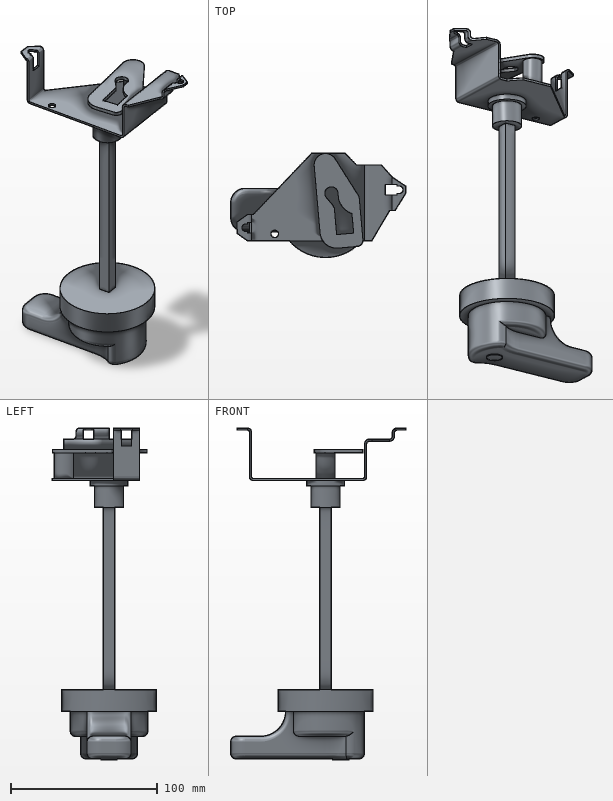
import cadquery as cq
import math


SHEET = 1.5
BEND = 1.2
WALL_BEND = 1.8
BRACKET_TOP = 36.0
SHELF_TOP = 28.4
LEFT_WALL_X = -52.2
RIGHT_WALL_X = 28.2
RISER_X = 47.1
LEFT_TIP_X = -60.5
TAB_TIP_X = 55.0
BASE_BACK_Y = 39.0
BASE_BACK_X = (-9.5, 13.4)
SHELF_BACK_Y = 31.0
SHELF_BACK_X = (21.2, 38.2)
SHELF_FRONT_X = 31.7
FRONT_Y = -21.0
LEFT_WALL_BACK_Y = -3.0
LEFT_WALL_MID_Y = (FRONT_Y + LEFT_WALL_BACK_Y) / 2
LEFT_TIP_HALF_WIDTH = 4.0
TAB_BACK_Y = 22.6
TAB_BACK_X = 45.7
TAB_FRONT_Y = -0.3
TAB_FRONT_X = (43.9, 47.6)
TAB_SLOT_Y = 14.0
TAB_TIP_HALF_WIDTH = 2.4
SLOT_WIDTH = 7.0
SLOT_TIP_WIDTH = 5.0
WALL_SLOT_BOTTOM = 23.8
LEFT_SLOT_WIDE_X = (-53.4, -50.4)
LEFT_SLOT_TIP_X = -57.3
TAB_SLOT_WIDE_X = (40.9, 48.8)
TAB_SLOT_TIP_X = 53.0
BASE_HOLE_D = 5.0
BASE_HOLE_XY = (-34.8, -16.2)

POST_Y = SHELF_BACK_Y
POST_R = 6.6
LEVER_TOP = 21.4
LEVER_THICK = 2.5
LEVER_TILT = 5.0
LEVER_R = 7.8
LEVER_RIGHT = 21.0
LEVER_SHOULDER = -23.7
LEVER_END = -57.5
LEVER_LEFT_CORNER_R = 11.3
LEVER_RIGHT_CORNER_R = 4.0
WINDOW_X = (3.4, 15.1)
WINDOW_END = -48.2
WINDOW_TOP = -34.8
EYE_CENTRE = (2.3, -19.8)
EYE_R = 4.5
EYE_LEAVE_ANGLE = 205.0
NECK_START = -24.0
NECK_ARC_MID = (9.2, -29.9)
NECK_LEFT = (2.3, -27.5)
NECK_EASE = 2.5

SHAFT_SIDE = 8.0
COLLAR_R = 13.0
COLLAR_THICK = 3.7
COUPLING_R = 10.0
COUPLING_BOTTOM = -18.4
ROSETTE_R = 32.5
ROSETTE_TOP = -143.2
ROSETTE_THICK = 14.8
ROSETTE_BOTTOM = ROSETTE_TOP - ROSETTE_THICK

HUB_R = 26.6
HUB_BOTTOM = -175.3
EDGE_R = 3.9
GRIP_BOTTOM = -190.6
GRIP_TIP_X = -65.0
GRIP_HALF_WIDTH = 15.0
GRIP_CORNER_R = 10.0
THUMB_R = 17.0
ARM_TOP = ROSETTE_BOTTOM - THUMB_R
THUMB_START_X = -44.4
FLARE_R = 24.0
FLARE_LENGTH = 14.0
TAIL_CORNER_R = 5.0
BUTTON_X = 10.4
BUTTON_R = 5.6
BUTTON_HEIGHT = 0.6

PICK = 0.1


def cylinder(radius, bottom, top, x=0.0, y=0.0):
    return cq.Workplane("XY", origin=(x, y, bottom)).circle(radius).extrude(top - bottom)


def box(x_range, y_range, z_range):
    size = [high - low for low, high in (x_range, y_range, z_range)]
    return cq.Workplane("XY").box(*size, centered=False).translate((x_range[0], y_range[0], z_range[0]))


def bend(sheet, x, z, radius):
    """Round the sheet edge that runs along Y through (x, z)."""
    picker = cq.selectors.BoxSelector(
        (x - PICK, FRONT_Y, z - PICK), (x + PICK, BASE_BACK_Y, z + PICK)
    )
    return sheet.edges(picker).fillet(radius)


def bent_sheet():
    left_inner = LEFT_WALL_X + SHEET
    right_inner = RIGHT_WALL_X - SHEET
    riser_left = RISER_X - SHEET
    shelf_under = SHELF_TOP - SHEET
    top_under = BRACKET_TOP - SHEET
    sheet = (
        cq.Workplane("XZ", origin=(0, BASE_BACK_Y, 0))
        .polyline([
            (LEFT_TIP_X, BRACKET_TOP), (left_inner, BRACKET_TOP), (left_inner, SHEET),
            (right_inner, SHEET), (right_inner, SHELF_TOP), (riser_left, SHELF_TOP),
            (riser_left, BRACKET_TOP), (TAB_TIP_X, BRACKET_TOP), (TAB_TIP_X, top_under),
            (RISER_X, top_under), (RISER_X, shelf_under), (RIGHT_WALL_X, shelf_under),
            (RIGHT_WALL_X, 0), (LEFT_WALL_X, 0), (LEFT_WALL_X, top_under), (LEFT_TIP_X, top_under),
        ])
        .close()
        .extrude(BASE_BACK_Y - FRONT_Y)
    )
    bends = [
        ((LEFT_WALL_X, top_under), (left_inner, BRACKET_TOP), BEND),
        ((left_inner, SHEET), (LEFT_WALL_X, 0), BEND),
        ((right_inner, SHEET), (RIGHT_WALL_X, 0), BEND),
        ((RIGHT_WALL_X, shelf_under), (right_inner, SHELF_TOP), WALL_BEND),
        ((riser_left, SHELF_TOP), (RISER_X, shelf_under), WALL_BEND),
        ((RISER_X, top_under), (riser_left, BRACKET_TOP), WALL_BEND),
    ]
    for inner, outer, radius in bends:
        sheet = bend(sheet, *inner, radius)
        sheet = bend(sheet, *outer, radius + SHEET)
    return sheet


def bracket_outline():
    base_left_x = LEFT_WALL_X + SHEET + BEND
    return (
        cq.Workplane("XY")
        .polyline([
            (LEFT_WALL_X - BEND, FRONT_Y),
            (LEFT_TIP_X, LEFT_WALL_MID_Y - LEFT_TIP_HALF_WIDTH),
            (LEFT_TIP_X, LEFT_WALL_MID_Y + LEFT_TIP_HALF_WIDTH),
            (LEFT_WALL_X - BEND, LEFT_WALL_BACK_Y),
            (base_left_x, LEFT_WALL_BACK_Y),
            (BASE_BACK_X[0], BASE_BACK_Y), (BASE_BACK_X[1], BASE_BACK_Y),
            (SHELF_BACK_X[0], SHELF_BACK_Y), (SHELF_BACK_X[1], SHELF_BACK_Y),
            (TAB_BACK_X, TAB_BACK_Y),
            (TAB_TIP_X, TAB_SLOT_Y + TAB_TIP_HALF_WIDTH), (TAB_TIP_X, TAB_SLOT_Y - TAB_TIP_HALF_WIDTH),
            (TAB_FRONT_X[1], TAB_FRONT_Y), (TAB_FRONT_X[0], TAB_FRONT_Y),
            (SHELF_FRONT_X, FRONT_Y),
        ])
        .close()
        .extrude(BRACKET_TOP)
    )


def hanging_slot(wide_x, y, tip_x, bottom):
    """A wide slot over wide_x that narrows to a rounded tip ending at tip_x."""
    half = SLOT_WIDTH / 2
    wide = box(wide_x, (y - half, y + half), (bottom, BRACKET_TOP))
    radius = SLOT_TIP_WIDTH / 2
    inside = (wide_x[0] + wide_x[1]) / 2
    toward_tip = math.copysign(1, tip_x - inside)
    centre_x = tip_x - toward_tip * radius
    neck = box(sorted((inside, centre_x)), (y - radius, y + radius), (bottom, BRACKET_TOP))
    return wide.union(neck).union(cylinder(radius, bottom, BRACKET_TOP, centre_x, y))


def bracket():
    left_slot = hanging_slot(LEFT_SLOT_WIDE_X, LEFT_WALL_MID_Y, LEFT_SLOT_TIP_X, WALL_SLOT_BOTTOM)
    tab_slot = hanging_slot(TAB_SLOT_WIDE_X, TAB_SLOT_Y, TAB_SLOT_TIP_X, SHELF_TOP - SHEET)
    base_hole = cylinder(BASE_HOLE_D / 2, 0, SHEET, *BASE_HOLE_XY)
    return bent_sheet().intersect(bracket_outline()).cut(left_slot).cut(tab_slot).cut(base_hole)


def lever():
    """Lever plate drawn with the post at the origin and then tilted about it."""
    reach = math.hypot(LEVER_RIGHT, LEVER_SHOULDER)
    tangent_angle = math.atan2(LEVER_SHOULDER, LEVER_RIGHT) + math.acos(LEVER_R / reach)
    tangent = (LEVER_R * math.cos(tangent_angle), LEVER_R * math.sin(tangent_angle))
    plate = (
        cq.Workplane("XY")
        .moveTo(-LEVER_R, 0)
        .threePointArc((0, LEVER_R), tangent)
        .lineTo(LEVER_RIGHT, LEVER_SHOULDER)
        .lineTo(LEVER_RIGHT, LEVER_END)
        .lineTo(-LEVER_R, LEVER_END)
        .close()
        .extrude(LEVER_THICK)
    )
    plate = plate.edges("|Z and <Y").edges("<X").fillet(LEVER_LEFT_CORNER_R)
    plate = plate.edges("|Z and >X").edges("<Y").fillet(LEVER_RIGHT_CORNER_R)
    return (
        plate.cut(lever_opening())
        .rotate((0, 0, 0), (0, 0, 1), LEVER_TILT)
        .translate((0, POST_Y, LEVER_TOP - LEVER_THICK))
    )


def lever_opening():
    """Rectangular window that tapers into a round eye, in the untilted lever frame."""
    left, right = WINDOW_X
    eye_x, eye_y = EYE_CENTRE
    eye_right = eye_x + EYE_R
    leave = math.radians(EYE_LEAVE_ANGLE)
    return (
        cq.Workplane("XY")
        .moveTo(left, WINDOW_END)
        .lineTo(right, WINDOW_END)
        .lineTo(right, WINDOW_TOP)
        .threePointArc(NECK_ARC_MID, (eye_right, NECK_START))
        .lineTo(eye_right, eye_y)
        .threePointArc(
            (eye_x, eye_y + EYE_R),
            (eye_x + EYE_R * math.cos(leave), eye_y + EYE_R * math.sin(leave)),
        )
        .lineTo(*NECK_LEFT)
        .lineTo(left, NECK_LEFT[1] - NECK_EASE)
        .close()
        .extrude(LEVER_THICK)
    )


def shaft():
    half = SHAFT_SIDE / 2
    return box((-half, half), (-half, half), (ROSETTE_BOTTOM, 0))


def grip():
    flare_angle = math.asin(FLARE_LENGTH / FLARE_R)
    flare_rise = FLARE_R * (1 - math.cos(flare_angle))
    mid_rise = FLARE_R * (1 - math.cos(flare_angle / 2))
    mid_x = FLARE_R * math.sin(flare_angle / 2)
    side = GRIP_HALF_WIDTH
    tail_x = math.sqrt(HUB_R**2 - (side + flare_rise) ** 2)
    plan = (
        cq.Workplane("XY", origin=(0, 0, GRIP_BOTTOM))
        .moveTo(GRIP_TIP_X, -side)
        .lineTo(0, -side)
        .threePointArc((mid_x, -side - mid_rise), (FLARE_LENGTH, -side - flare_rise))
        .lineTo(tail_x, -side - flare_rise)
        .threePointArc((HUB_R, 0), (tail_x, side + flare_rise))
        .lineTo(FLARE_LENGTH, side + flare_rise)
        .threePointArc((mid_x, side + mid_rise), (0, side))
        .lineTo(GRIP_TIP_X, side)
        .close()
        .extrude(ROSETTE_BOTTOM - GRIP_BOTTOM)
    )
    body = plan.edges("|Z and <X").fillet(GRIP_CORNER_R)
    body = body.edges("|Z and (<Y or >Y)").edges(">X").fillet(TAIL_CORNER_R)
    scoop_mid = THUMB_R * math.sqrt(0.5)
    scoop = (
        cq.Workplane("XZ", origin=(0, ROSETTE_R, 0))
        .moveTo(GRIP_TIP_X, ROSETTE_BOTTOM)
        .lineTo(GRIP_TIP_X, ARM_TOP)
        .lineTo(THUMB_START_X, ARM_TOP)
        .threePointArc(
            (THUMB_START_X + scoop_mid, ROSETTE_BOTTOM - scoop_mid),
            (THUMB_START_X + THUMB_R, ROSETTE_BOTTOM),
        )
        .close()
        .extrude(2 * ROSETTE_R)
    )
    body = body.cut(scoop)
    body = body.faces("<Z").edges().fillet(EDGE_R)
    arm_top = cq.selectors.BoxSelector(
        (GRIP_TIP_X, -GRIP_HALF_WIDTH, ARM_TOP - PICK),
        (THUMB_START_X, GRIP_HALF_WIDTH, ARM_TOP + PICK),
    )
    return body.faces(arm_top).edges("<X").fillet(EDGE_R)


def handle():
    hub = cylinder(HUB_R, HUB_BOTTOM, ROSETTE_BOTTOM).faces("<Z").edges().fillet(EDGE_R)
    button = cylinder(BUTTON_R, GRIP_BOTTOM - BUTTON_HEIGHT, GRIP_BOTTOM, BUTTON_X)
    return hub.union(grip()).union(button)


result = (
    cylinder(ROSETTE_R, ROSETTE_BOTTOM, ROSETTE_TOP)
    .union(handle())
    .union(shaft())
    .union(cylinder(COUPLING_R, COUPLING_BOTTOM, 0))
    .union(cylinder(COLLAR_R, -COLLAR_THICK, 0))
    .union(bracket())
    .union(cylinder(POST_R, 0, LEVER_TOP - LEVER_THICK, 0, POST_Y))
    .union(lever())
)